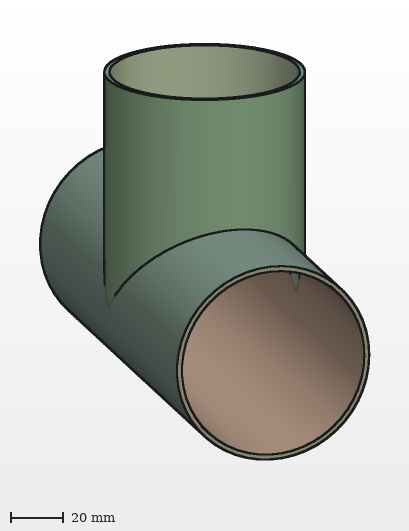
import cadquery as cq

run_length = 180.0
outer_diameter = 76.3
inner_diameter = 72.4
branch_height = run_length / 2


def tee_solid(diameter):
    """Run and branch cylinders of one diameter, joined at the crossing of their axes."""
    run = cq.Workplane("YZ").circle(diameter / 2).extrude(run_length / 2, both=True)
    branch = cq.Workplane("XY").circle(diameter / 2).extrude(branch_height)
    return run.union(branch)


result = tee_solid(outer_diameter).cut(tee_solid(inner_diameter))